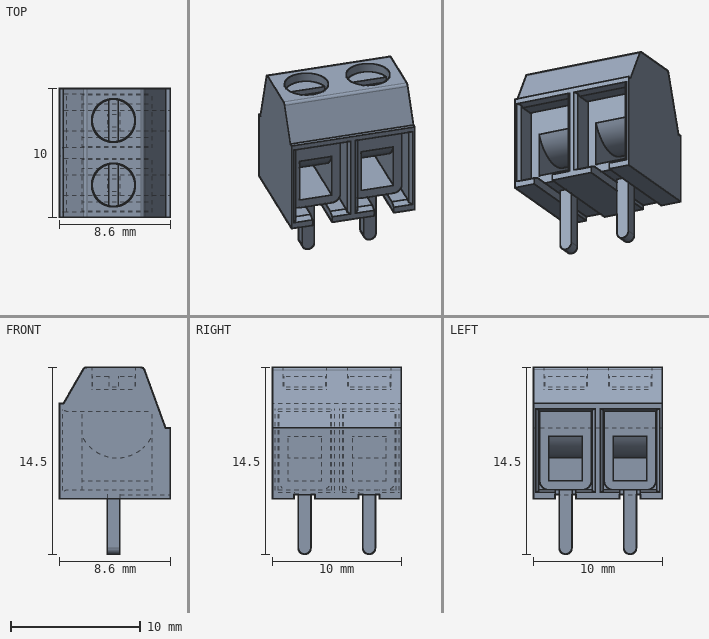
import cadquery as cq
import math

EPS = 0.01

body_depth = 8.6
body_length = 10.0
body_height = 10.2
front_shoulder_height = 7.4
rear_shoulder_height = 5.5
front_shoulder_width = 0.32
rear_shoulder_width = 0.36
front_slope = 60.0
rear_slope = 70.0
crest_radius = 0.32

pitch = 5.0
pole_positions = (-pitch / 2, pitch / 2)
axis_x = 4.2

pocket_width = 4.15
pocket_bottom = 0.7
pocket_top = 6.8
side_flare = 0.24
side_flare_depth = 0.24
end_flare = 0.2
end_flare_depth = 0.53

cage_front = 1.75
cage_depth = 5.4
cage_width = 4.0
cage_corner_radius = 0.7
cage_wall = 0.7
opening_top = 4.86
roof_sag = 1.68

slot_width = 1.6
channel_height = 0.33

pin_width = 1.0
pin_length = 4.3

screw_hole_diameter = 3.4
screw_head_diameter = 3.3
screw_recess = 0.7
screw_head_height = 1.0
driver_slot_width = 0.73
driver_slot_depth = 0.8

cage_back = cage_front + cage_depth
pocket_height = pocket_top - pocket_bottom
pocket_mid_z = (pocket_top + pocket_bottom) / 2


def box(x_range, y_center, width, z_range):
    """Box spanning x_range and z_range, centred on y_center."""
    depth = x_range[1] - x_range[0]
    height = z_range[1] - z_range[0]
    corner = (x_range[0], y_center - width / 2, z_range[0])
    return cq.Workplane("XY").box(depth, width, height, centered=False).translate(corner)


def make_housing():
    front_run = (body_height - front_shoulder_height) / math.tan(math.radians(front_slope))
    rear_run = (body_height - rear_shoulder_height) / math.tan(math.radians(rear_slope))
    outline = [
        (0, 0),
        (body_depth, 0),
        (body_depth, rear_shoulder_height),
        (body_depth - rear_shoulder_width, rear_shoulder_height),
        (body_depth - rear_shoulder_width - rear_run, body_height),
        (front_shoulder_width + front_run, body_height),
        (front_shoulder_width, front_shoulder_height),
        (0, front_shoulder_height),
    ]
    profile = cq.Workplane("XZ").polyline(outline).close()
    housing = profile.extrude(body_length / 2, both=True)
    return housing.faces(">Z").edges("|Y").fillet(crest_radius)


def flared_outline(width, flare, flare_depth):
    """Corners of a straight pocket of the given width that widens towards the entry face."""
    return [
        (0, -width / 2 - flare),
        (flare_depth, -width / 2),
        (cage_back, -width / 2),
        (cage_back, width / 2),
        (flare_depth, width / 2),
        (0, width / 2 + flare),
    ]


def make_pocket(y):
    """Rectangular pocket whose sides and ends flare out separately at the entry face."""
    plan_outline = flared_outline(pocket_width, side_flare, side_flare_depth)
    side_outline = flared_outline(pocket_height, end_flare, end_flare_depth)
    pocket_center = (0, y, pocket_mid_z)
    plan = cq.Workplane("XY", origin=pocket_center).polyline(plan_outline).close()
    side = cq.Workplane("XZ", origin=pocket_center).polyline(side_outline).close()
    return plan.extrude(pocket_height, both=True).intersect(side.extrude(pocket_width, both=True))


def make_cage(y):
    """Cage block with an opening whose roof bulges down in an arc."""
    cage = box((cage_front, cage_back), y, cage_width, (pocket_bottom, pocket_top))
    cage = cage.edges("|X and <Z").fillet(cage_corner_radius)
    opening_bottom = pocket_bottom + cage_wall
    opening_width = cage_width - 2 * cage_wall
    opening = (
        cq.Workplane("XZ", origin=(0, y, 0))
        .moveTo(cage_front, opening_bottom)
        .lineTo(cage_back, opening_bottom)
        .lineTo(cage_back, opening_top)
        .threePointArc(
            ((cage_front + cage_back) / 2, opening_top - roof_sag),
            (cage_front, opening_top),
        )
        .close()
        .extrude(opening_width / 2, both=True)
    )
    return cage.cut(opening)


def make_underside_slot(y):
    """Slot open to the pocket up to the back of the pin, then a shallow channel to the rear."""
    pin_back = axis_x + pin_width / 2
    deep_slot = box((-EPS, pin_back), y, slot_width, (-EPS, pocket_bottom + EPS))
    channel = box((-EPS, body_depth + EPS), y, slot_width, (-EPS, channel_height))
    return deep_slot.union(channel)


def make_pin(y):
    """Square pin with a half-round tip, reaching up into the cage floor."""
    pin_top = pocket_bottom + cage_wall / 2
    x_range = (axis_x - pin_width / 2, axis_x + pin_width / 2)
    tip_center_z = -pin_length + pin_width / 2
    shank = box(x_range, y, pin_width, (tip_center_z, pin_top))
    tip = (
        cq.Workplane("YZ", origin=(x_range[0], y, tip_center_z))
        .circle(pin_width / 2)
        .extrude(pin_width)
    )
    return shank.union(tip)


def make_screw_clearance(y):
    """Ring around the screw head, the recess above it and the driver slot across it."""
    head_top = body_height - screw_recess
    head_bottom = head_top - screw_head_height
    hole = (
        cq.Workplane("XY", origin=(axis_x, y, head_bottom))
        .circle(screw_hole_diameter / 2)
        .extrude(body_height - head_bottom + EPS)
    )
    head = (
        cq.Workplane("XY", origin=(axis_x, y, head_bottom))
        .circle(screw_head_diameter / 2)
        .extrude(screw_head_height)
    )
    slot_range = (axis_x - driver_slot_width / 2, axis_x + driver_slot_width / 2)
    slot_bottom = head_top - driver_slot_depth
    driver_slot = box(slot_range, y, screw_head_diameter, (slot_bottom, head_top))
    return hole.cut(head.cut(driver_slot))


result = make_housing()
for pole_y in pole_positions:
    result = result.cut(make_pocket(pole_y))
    result = result.cut(make_underside_slot(pole_y))
    result = result.cut(make_screw_clearance(pole_y))
    result = result.union(make_cage(pole_y))
    result = result.union(make_pin(pole_y))